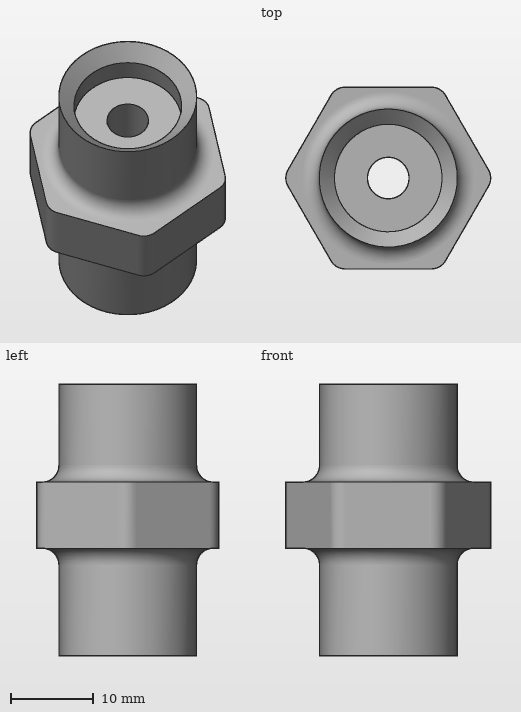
import cadquery as cq
import math

total_height = 32.83
barrel_diameter = 16.68

hex_across_flats = 22.0
hex_bottom = 13.0
hex_height = 8.0
hex_corner_radius = 2.0
root_fillet = 2.0

through_diameter = 5.0
socket_diameter = 13.0
socket_depth = 3.0

barrel_radius = barrel_diameter / 2
socket_radius = socket_diameter / 2
hex_top = hex_bottom + hex_height
hex_across_corners = hex_across_flats / math.cos(math.pi / 6)
cone_depth = barrel_radius - socket_radius
cone_bottom = total_height - cone_depth
socket_floor = cone_bottom - socket_depth


def make_hex_collar():
    """Hexagon with corners on the X axis and rounded vertical edges."""
    return (
        cq.Workplane("XY", origin=(0, 0, hex_bottom))
        .polygon(6, hex_across_corners)
        .extrude(hex_height)
        .edges("|Z")
        .fillet(hex_corner_radius)
    )


def make_barrel():
    """Round barrel flaring out with concave fillets onto both collar faces."""
    flare_radius = barrel_radius + root_fillet
    profile = (
        cq.Workplane("XZ")
        .lineTo(barrel_radius, 0)
        .lineTo(barrel_radius, hex_bottom - root_fillet)
        .radiusArc((flare_radius, hex_bottom), root_fillet)
        .lineTo(flare_radius, hex_top)
        .radiusArc((barrel_radius, hex_top + root_fillet), root_fillet)
        .lineTo(barrel_radius, total_height)
        .lineTo(0, total_height)
        .close()
    )
    return profile.revolve(360, (0, 0, 0), (0, 1, 0))


def make_bore():
    """Through hole opening into a straight socket with a conical mouth."""
    through_radius = through_diameter / 2
    profile = (
        cq.Workplane("XZ")
        .lineTo(through_radius, 0)
        .lineTo(through_radius, socket_floor)
        .lineTo(socket_radius, socket_floor)
        .lineTo(socket_radius, cone_bottom)
        .lineTo(barrel_radius, total_height)
        .lineTo(0, total_height)
        .close()
    )
    return profile.revolve(360, (0, 0, 0), (0, 1, 0))


result = make_barrel().union(make_hex_collar()).cut(make_bore())